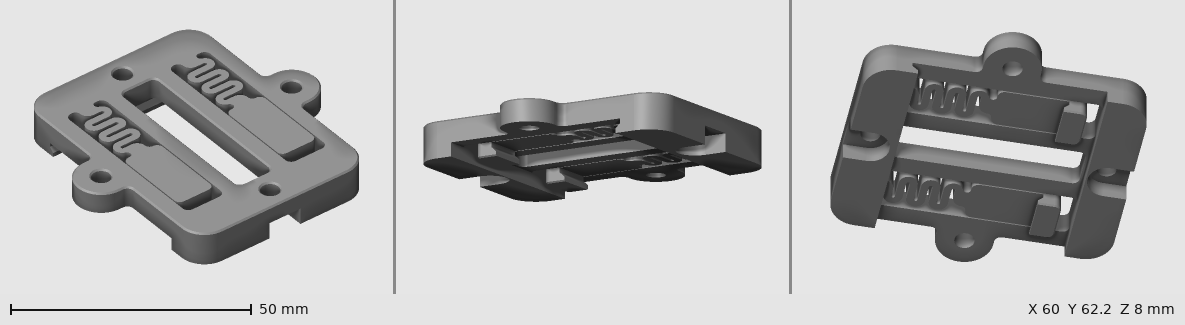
import cadquery as cq
import math

PLATE_LENGTH = 60.0
PLATE_WIDTH = 45.05
TOTAL_WIDTH = 62.2
HEIGHT = 8.0
RAIL_DEPTH = 3.0
PLATE_CORNER_RADIUS = 6.0
EDGE_CHAMFER = 0.4
LUG_RADIUS = 6.1
LUG_ROOT_FILLET = 1.5

HOLE_DIAMETER = 4.2
HEAD_DIAMETER = 8.1
HEAD_POCKET_DEPTH = 4.0
HOLE_OFFSET = TOTAL_WIDTH / 2 - LUG_RADIUS

CHANNEL_HALF = 20.65
HOOK_REACH = 1.1
HOOK_STEP = RAIL_DEPTH / 3

WINDOW_LENGTH = 40.0
WINDOW_WIDTH = 9.0
SLOT_WIDTH = 9.95
SLOT_OFFSET = 13.5
OPENING_RADIUS = 1.5

TAB_LEFT = -1.5
TAB_RIGHT = 17.4
TAB_WIDTH = 9.4
SHOULDER_FILLET = 1.2
TAB_RADIUS = 1.5
FOOT_LEFT = 13.45
FOOT_CHAMFER = 0.3

SPRING_PITCH = 4.8
SPRING_GAP = 0.8
SPRING_HEIGHT = 8.0
UPPER_BENDS = 3

SPRING_BAR = SPRING_PITCH / 2 - SPRING_GAP
BEND_INNER = SPRING_GAP / 2
BEND_OUTER = BEND_INNER + SPRING_BAR
BEND_CENTRE = SPRING_HEIGHT / 2 - BEND_OUTER
SPRING_CENTRE = (TAB_LEFT - CHANNEL_HALF) / 2
SPRING_HALF = (TAB_LEFT + CHANNEL_HALF) / 2


def arc(centre, radius, start, end):
    """Middle and end point of an arc, with its angles in degrees."""
    def point(angle):
        turn = math.radians(angle)
        return (centre[0] + radius * math.cos(turn), centre[1] + radius * math.sin(turn))

    return [point((start + end) / 2), point(end)]


def spring_edge():
    """Upper edge of the spring from the slot end to the tab, about the spring centre.

    Each entry is a single point for a straight or a middle and end point for an arc.
    """
    first_bend = -(UPPER_BENDS - 1) / 2 * SPRING_PITCH - SPRING_PITCH / 4

    reach = SPRING_HALF + first_bend
    half_sum = reach + BEND_OUTER
    notch = half_sum - math.sqrt(half_sum**2 - reach**2 + BEND_OUTER**2)
    notch_centre = (notch - SPRING_HALF, BEND_CENTRE + notch)
    contact = math.degrees(math.atan2(-notch, reach - notch))

    edge = [[(-SPRING_HALF, notch_centre[1])]]
    edge.append(arc(notch_centre, notch, 180, 360 + contact))
    start = 180 + contact
    for index in range(UPPER_BENDS):
        x = first_bend + index * SPRING_PITCH
        gap_x = x + SPRING_PITCH / 2
        edge.append(arc((x, BEND_CENTRE), BEND_OUTER, start, 0))
        edge.append([(x + BEND_OUTER, -BEND_CENTRE)])
        edge.append(arc((gap_x, -BEND_CENTRE), BEND_INNER, 180, 360))
        if index < UPPER_BENDS - 1:
            edge.append([(gap_x + BEND_INNER, BEND_CENTRE)])
        start = 180

    shoulder_x = SPRING_HALF - SHOULDER_FILLET
    shoulder = shoulder_x - gap_x - BEND_INNER
    edge.append([(gap_x + BEND_INNER, BEND_CENTRE - shoulder)])
    edge.append(arc((shoulder_x, BEND_CENTRE - shoulder), shoulder, 180, 90))
    edge.append(arc((shoulder_x, BEND_CENTRE + SHOULDER_FILLET), SHOULDER_FILLET, -90, 0))
    return edge


def draw_edge(sketch, edge, side):
    """Continue a sketch along the edge; side -1 turns it half a turn about the centre."""
    for points in edge:
        placed = [(SPRING_CENTRE + side * x, side * y) for x, y in points]
        if len(placed) == 1:
            sketch = sketch.lineTo(*placed[0])
        else:
            sketch = sketch.threePointArc(*placed)
    return sketch


def make_body():
    plate = (
        cq.Workplane("XY")
        .box(PLATE_LENGTH, PLATE_WIDTH, HEIGHT, centered=(True, True, False))
        .edges("|Z")
        .fillet(PLATE_CORNER_RADIUS)
    )
    lugs = (
        cq.Workplane("XY")
        .workplane(offset=RAIL_DEPTH)
        .slot2D(TOTAL_WIDTH, 2 * LUG_RADIUS, 90)
        .extrude(HEIGHT - RAIL_DEPTH)
    )
    body = plate.union(lugs)
    for x in (-LUG_RADIUS, LUG_RADIUS):
        for y in (-PLATE_WIDTH / 2, PLATE_WIDTH / 2):
            root = cq.selectors.NearestToPointSelector((x, y, (RAIL_DEPTH + HEIGHT) / 2))
            body = body.edges("|Z").edges(root).fillet(LUG_ROOT_FILLET)
    return body


def make_channel():
    hook_x = HOOK_REACH - CHANNEL_HALF
    return (
        cq.Workplane("XZ")
        .moveTo(CHANNEL_HALF, 0)
        .lineTo(CHANNEL_HALF, RAIL_DEPTH)
        .lineTo(-CHANNEL_HALF, RAIL_DEPTH)
        .lineTo(-CHANNEL_HALF, 2 * HOOK_STEP)
        .lineTo(hook_x, HOOK_STEP)
        .lineTo(hook_x, 0)
        .close()
        .extrude(TOTAL_WIDTH / 2, both=True)
    )


def make_window():
    return (
        cq.Workplane("XY")
        .workplane(offset=RAIL_DEPTH)
        .box(WINDOW_LENGTH, WINDOW_WIDTH, HEIGHT, centered=(True, True, False))
        .edges("|Z")
        .fillet(OPENING_RADIUS)
    )


def make_holes():
    spots = [(HOLE_OFFSET, 0), (-HOLE_OFFSET, 0), (0, HOLE_OFFSET), (0, -HOLE_OFFSET)]
    return cq.Workplane("XY").pushPoints(spots).circle(HOLE_DIAMETER / 2).extrude(HEIGHT)


def make_head_pocket(side):
    return (
        cq.Workplane("XY")
        .center(side * (HOLE_OFFSET + HEAD_DIAMETER / 2), 0)
        .slot2D(2 * HEAD_DIAMETER, HEAD_DIAMETER)
        .extrude(HEAD_POCKET_DEPTH)
    )


def make_slot():
    """Slot cutter along X, centred on Y."""
    return (
        cq.Workplane("XY")
        .workplane(offset=RAIL_DEPTH)
        .box(2 * CHANNEL_HALF, SLOT_WIDTH, HEIGHT, centered=(True, True, False))
        .edges("|Z")
        .fillet(OPENING_RADIUS)
    )


def make_latch_block(left, bottom, height):
    """Block as wide as the latch tab, from the given left side to the tab's free end."""
    return (
        cq.Workplane("XY")
        .workplane(offset=bottom)
        .center((left + TAB_RIGHT) / 2, 0)
        .rect(TAB_RIGHT - left, TAB_WIDTH)
        .extrude(height)
    )


def make_foot():
    """Foot under the tab's free end, with a hook that faces the hooked channel wall."""
    hook_x = FOOT_LEFT - HOOK_REACH
    foot = make_latch_block(hook_x, 0, RAIL_DEPTH).edges("|Z and >X").fillet(TAB_RADIUS)
    foot = foot.faces("<Z").edges("not <X").chamfer(FOOT_CHAMFER)
    undercut = (
        cq.Workplane("XZ")
        .moveTo(hook_x, HOOK_STEP)
        .lineTo(FOOT_LEFT, 2 * HOOK_STEP)
        .lineTo(FOOT_LEFT, RAIL_DEPTH)
        .lineTo(hook_x, RAIL_DEPTH)
        .close()
        .extrude(TAB_WIDTH, both=True)
    )
    return foot.cut(undercut)


def make_clip():
    """Spring, latch tab and hooked foot, along X and centred on Y."""
    edge = spring_edge()
    thickness = HEIGHT - RAIL_DEPTH
    start_x, start_y = edge[0][0]
    sketch = cq.Workplane("XY").workplane(offset=RAIL_DEPTH)
    sketch = sketch.moveTo(SPRING_CENTRE + start_x, start_y)
    sketch = draw_edge(sketch, edge[1:], 1)
    sketch = draw_edge(sketch, edge, -1)
    spring = sketch.close().extrude(thickness)

    tab = make_latch_block(TAB_LEFT, RAIL_DEPTH, thickness).edges("|Z").fillet(TAB_RADIUS)
    return spring.union(tab).union(make_foot())


result = make_body().cut(make_channel()).cut(make_window()).cut(make_holes())
result = result.faces(">Z").edges().chamfer(EDGE_CHAMFER)
for end in (-1, 1):
    result = result.cut(make_head_pocket(end))

slot = make_slot()
clip = make_clip()
for y in (-SLOT_OFFSET, SLOT_OFFSET):
    result = result.cut(slot.translate((0, y, 0))).union(clip.translate((0, y, 0)))